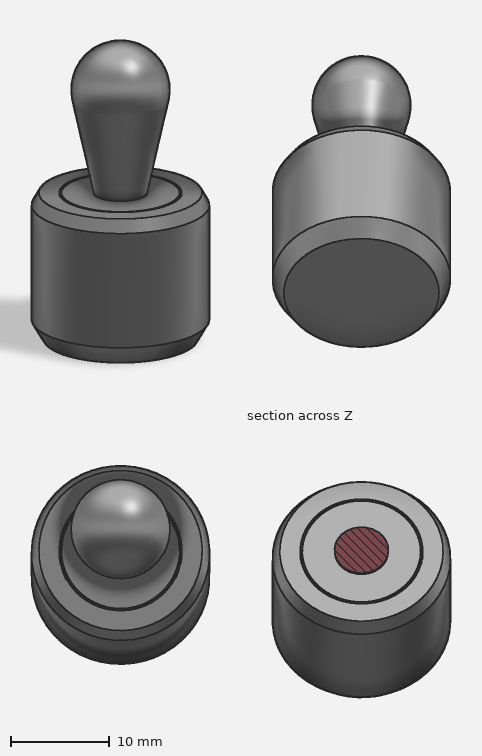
import cadquery as cq
import math

TOTAL_HEIGHT = 31.5
HOUSING_HEIGHT = 15.5

HOUSING_RADIUS = 9.0
TOP_BEVEL_HEIGHT = 1.3
BOTTOM_BEVEL_HEIGHT = 2.0
BEVEL_ANGLE = 60.0

MOUTH_RADIUS = 6.2
MOUTH_DEPTH = 2.0
SEAL_CAP_RADIUS = 5.975
SEAL_FOOT_RADIUS = 6.1
SEAL_FOOT_HEIGHT = 1.0

BALL_RADIUS = 5.0
NECK_RADIUS = 2.7
BALL_CENTER_Z = TOTAL_HEIGHT - BALL_RADIUS

MOUTH_FLOOR_Z = HOUSING_HEIGHT - MOUTH_DEPTH
BORE_FLOOR_Z = MOUTH_FLOOR_Z - SEAL_FOOT_HEIGHT


def revolve_profile(profile):
    """Revolve a closed XZ profile fully around the Z axis."""
    return profile.close().revolve(360, (0, 0, 0), (0, 1, 0))


def make_housing():
    """Bevelled cylinder with the stepped seal bore in its top face."""
    bevel_slope = math.tan(math.radians(BEVEL_ANGLE))
    top_radius = HOUSING_RADIUS - TOP_BEVEL_HEIGHT / bevel_slope
    bottom_radius = HOUSING_RADIUS - BOTTOM_BEVEL_HEIGHT / bevel_slope
    profile = (
        cq.Workplane("XZ")
        .lineTo(bottom_radius, 0)
        .lineTo(HOUSING_RADIUS, BOTTOM_BEVEL_HEIGHT)
        .lineTo(HOUSING_RADIUS, HOUSING_HEIGHT - TOP_BEVEL_HEIGHT)
        .lineTo(top_radius, HOUSING_HEIGHT)
        .lineTo(MOUTH_RADIUS, HOUSING_HEIGHT)
        .lineTo(MOUTH_RADIUS, MOUTH_FLOOR_Z)
        .lineTo(SEAL_FOOT_RADIUS, MOUTH_FLOOR_Z)
        .lineTo(SEAL_FOOT_RADIUS, BORE_FLOOR_Z)
        .lineTo(0, BORE_FLOOR_Z)
    )
    return revolve_profile(profile)


def make_pin():
    """Ball with a taper tangent to it, ending on the bore floor."""
    center_above_neck = BALL_CENTER_Z - HOUSING_HEIGHT
    center_distance = math.hypot(NECK_RADIUS, center_above_neck)
    taper_angle = math.atan2(center_above_neck, NECK_RADIUS) - math.acos(BALL_RADIUS / center_distance)

    seam_radius = BALL_RADIUS * math.cos(taper_angle)
    seam_z = BALL_CENTER_Z - BALL_RADIUS * math.sin(taper_angle)
    foot_radius = NECK_RADIUS - (HOUSING_HEIGHT - BORE_FLOOR_Z) * math.tan(taper_angle)
    profile = (
        cq.Workplane("XZ")
        .moveTo(0, BORE_FLOOR_Z)
        .lineTo(foot_radius, BORE_FLOOR_Z)
        .lineTo(seam_radius, seam_z)
        .threePointArc((BALL_RADIUS, BALL_CENTER_Z), (0, TOTAL_HEIGHT))
    )
    return revolve_profile(profile)


def make_seal(pin):
    """Stepped disc on the bore floor, fitting closely around the pin."""
    profile = (
        cq.Workplane("XZ")
        .moveTo(0, BORE_FLOOR_Z)
        .lineTo(SEAL_FOOT_RADIUS, BORE_FLOOR_Z)
        .lineTo(SEAL_FOOT_RADIUS, MOUTH_FLOOR_Z)
        .lineTo(SEAL_CAP_RADIUS, MOUTH_FLOOR_Z)
        .lineTo(SEAL_CAP_RADIUS, HOUSING_HEIGHT)
        .lineTo(0, HOUSING_HEIGHT)
    )
    return revolve_profile(profile).cut(pin)


housing = make_housing()
pin = make_pin()
seal = make_seal(pin)

result = cq.Compound.makeCompound([housing.val(), pin.val(), seal.val()])